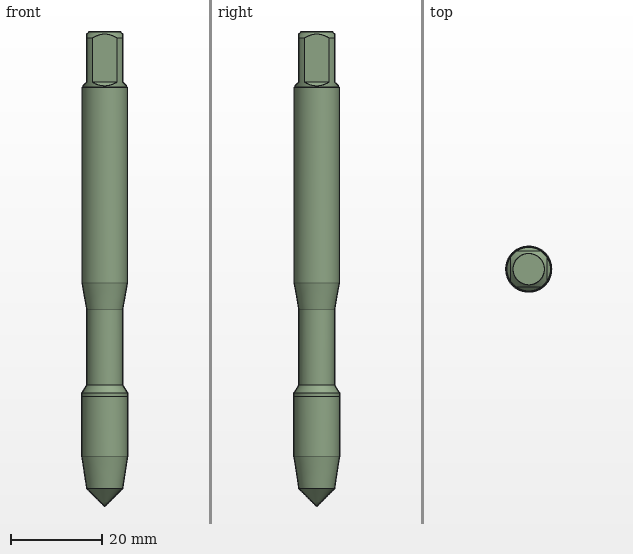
import cadquery as cq

total_length = 104.3

head_diameter = 10.1
head_top_z = 24.2
taper_top_z = 11.1
point_base_diameter = 7.9
point_height = point_base_diameter / 2

shank_diameter = 10.0
neck_diameter = 7.9
collar_top_z = 24.9
neck_bottom_z = 26.7
neck_top_z = 43.3
shank_bottom_z = 49.1

drive_diameter = 9.6
drive_across_flats = 7.9
shank_top_z = 92.0
flat_bottom_z = 93.2
shoulder_chamfer = (shank_diameter - drive_diameter) / 2
top_chamfer = 1.4


def revolve_profile(points):
    """Revolve a closed (radius, z) outline about the Z axis."""
    return cq.Workplane("XZ").polyline(points).close().revolve(360, (0, 0, 0), (0, 1, 0))


def make_head():
    """Cylindrical cutting head with a lead taper and a conical point."""
    return revolve_profile([
        (0, 0),
        (point_base_diameter / 2, point_height),
        (head_diameter / 2, taper_top_z),
        (head_diameter / 2, head_top_z),
        (0, head_top_z),
    ])


def make_flat_cutter():
    """Tool for the +X drive flat, ending below in a 45 degree sloping run-out."""
    inner = drive_across_flats / 2
    outer = shank_diameter
    run_out = outer - inner
    return (
        cq.Workplane("XZ")
        .polyline([
            (inner, flat_bottom_z),
            (outer, flat_bottom_z - run_out),
            (outer, total_length),
            (inner, total_length),
        ])
        .close()
        .extrude(shank_diameter, both=True)
    )


def make_shank():
    """Round shank with a necked lower end and a square drive at the top."""
    shank = revolve_profile([
        (0, head_top_z),
        (head_diameter / 2, head_top_z),
        (head_diameter / 2, collar_top_z),
        (neck_diameter / 2, neck_bottom_z),
        (neck_diameter / 2, neck_top_z),
        (shank_diameter / 2, shank_bottom_z),
        (shank_diameter / 2, shank_top_z),
        (drive_diameter / 2, shank_top_z + shoulder_chamfer),
        (drive_diameter / 2, total_length - top_chamfer),
        (drive_diameter / 2 - top_chamfer, total_length),
        (0, total_length),
    ])

    for quarter in range(4):
        cutter = make_flat_cutter().rotate((0, 0, 0), (0, 0, 1), 90 * quarter)
        shank = shank.cut(cutter)
    return shank


head = make_head()
shank = make_shank()

result = cq.Compound.makeCompound([head.val(), *shank.vals()])